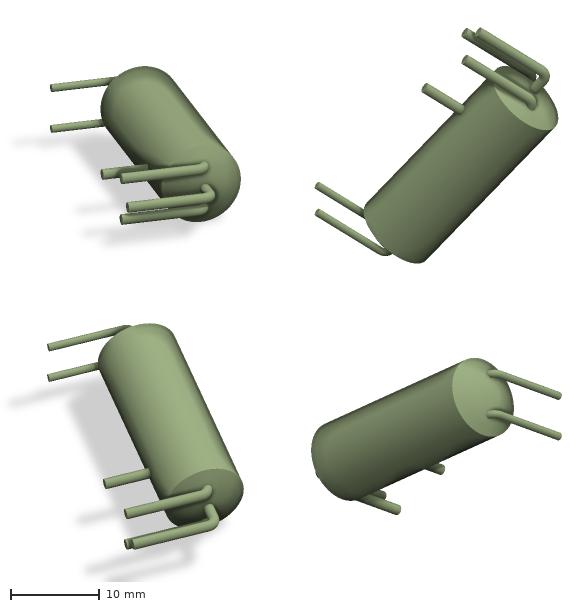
import cadquery as cq

body_diameter = 9.4
body_length = 24.0
dome_depth = 1.5
overall_length = 31.05

lead_end_y = -10.0
bend_radius = 1.0
lead_offset_z = 2.5

thin_diameter = 0.9
thick_diameter = 1.2
left_lead_x = -1.8
far_lead_x = left_lead_x - thin_diameter / 2 + overall_length - thick_diameter / 2
right_lead_x = far_lead_x - lead_offset_z
side_lead_x = 18.2

body_radius = body_diameter / 2
dome_radius = (body_radius**2 + dome_depth**2) / (2 * dome_depth)
dome_mid_height = dome_depth - dome_radius + (dome_radius**2 - (body_radius / 2) ** 2) ** 0.5


def domed_body():
    profile = (
        cq.Workplane("XY")
        .moveTo(-dome_depth, 0)
        .threePointArc((-dome_mid_height, body_radius / 2), (0, body_radius))
        .lineTo(body_length, body_radius)
        .threePointArc(
            (body_length + dome_mid_height, body_radius / 2),
            (body_length + dome_depth, 0),
        )
        .close()
    )
    return profile.revolve(360, (0, 0, 0), (1, 0, 0))


def straight_lead(x, start_y, z, diameter):
    """Round lead running in -Y from start_y to the common end plane."""
    return (
        cq.Workplane("XZ", origin=(x, start_y, z))
        .circle(diameter / 2)
        .extrude(start_y - lead_end_y)
    )


def bent_lead(x, z, diameter, root_x):
    """Lead leaving the body along X at root_x, then bending a quarter turn to -Y at x."""
    outward = 1 if x > root_x else -1
    bend_start_x = x - outward * bend_radius
    root = cq.Workplane("YZ", origin=(root_x, 0, z)).circle(diameter / 2).extrude(bend_start_x - root_x)
    elbow = (
        cq.Workplane("YZ", origin=(bend_start_x, 0, z))
        .circle(diameter / 2)
        .revolve(90, (-bend_radius, 0, 0), (-bend_radius, -outward, 0))
    )
    return root.union(elbow).union(straight_lead(x, -bend_radius, z, diameter))


result = domed_body()
for z in (-lead_offset_z, lead_offset_z):
    result = result.union(bent_lead(left_lead_x, z, thin_diameter, 0))
    result = result.union(bent_lead(right_lead_x, z, thick_diameter, body_length))
result = result.union(bent_lead(far_lead_x, 0, thick_diameter, body_length))
result = result.union(straight_lead(side_lead_x, 0, 0, thick_diameter))